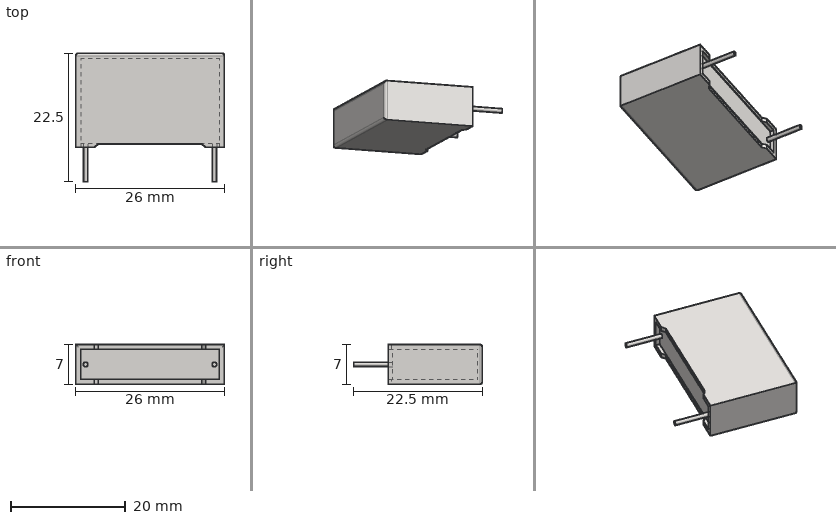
import cadquery as cq

length = 26.0
depth = 16.48
height = 7.0
wall = 0.88
back_round = 0.5

relief_depth = 0.6
relief_start = 3.28
relief_slope = 0.7

potting_recess = 0.7

lead_pitch = 22.5
lead_diameter = 0.8
lead_reach = 6.0

cavity_length = length - 2 * wall
cavity_height = height - 2 * wall
cavity_depth = depth - wall


def block(x_size, z_size, y_front, y_back):
    """Box centred on X and Z, spanning y_front to y_back."""
    return cq.Workplane("XY").box(x_size, y_back - y_front, z_size).translate(
        (0, (y_front + y_back) / 2, 0)
    )


def make_housing():
    shell = block(length, height, 0, depth).faces(">Y").edges().fillet(back_round)
    cavity = block(cavity_length, cavity_height, 0, cavity_depth)
    relief_outer = length / 2 - relief_start
    relief_inner = relief_outer - relief_slope
    relief = (
        cq.Workplane("XY")
        .polyline([
            (-relief_outer, 0),
            (-relief_inner, relief_depth),
            (relief_inner, relief_depth),
            (relief_outer, 0),
        ])
        .close()
        .extrude(height / 2, both=True)
    )
    return shell.cut(cavity).cut(relief)


def make_potting():
    return block(cavity_length, cavity_height, potting_recess, cavity_depth)


def make_lead(x):
    return (
        cq.Workplane("XZ", origin=(x, potting_recess, 0))
        .circle(lead_diameter / 2)
        .extrude(potting_recess + lead_reach)
    )


housing = make_housing()
potting = make_potting()
leads = [make_lead(side * lead_pitch / 2) for side in (-1, 1)]

result = cq.Compound.makeCompound([
    housing.val(),
    potting.val(),
    *[lead.val() for lead in leads],
])